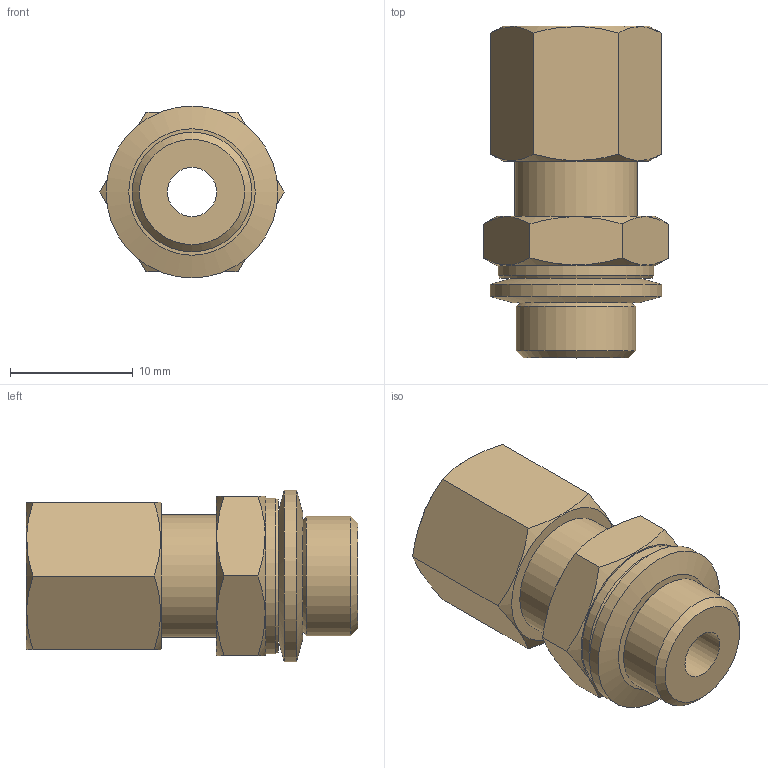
import cadquery as cq
import math


total_length = 27.02
bore_radius = 2.0

stud_radius = 9.73 / 2
stud_chamfer = 0.58
thread_end = 4.2
relief_radius = 4.47

washer_start = 4.5
washer_rim_width = 1.0
washer_rim_radius = 7.0
washer_face_radius = 5.15
washer_bevel_angle = math.radians(15)
washer_bevel = (washer_rim_radius - washer_face_radius) * math.tan(washer_bevel_angle)
washer_rim_start = washer_start + washer_bevel
washer_rim_end = washer_rim_start + washer_rim_width
washer_end = washer_rim_end + washer_bevel

collar_radius = 6.33
collar_chamfer_radial = 0.13
collar_chamfer_axial = 0.23

body_start = 7.52
body_length = 4.0
body_across_flats = 13.0
body_end = body_start + body_length
neck_radius = 5.0
nut_length = 11.0
nut_across_flats = 12.0
nut_start = total_length - nut_length
hex_chamfer_angle = math.radians(30)
hex_face_inset = 0.06


def revolve_profile(points):
    """Revolve a closed (radius, Y) outline around the Y axis."""
    return cq.Workplane("XY").polyline(points).close().revolve(360, (0, 0, 0), (0, 1, 0))


def cylinder(radius, start, end):
    """Cylinder along Y between two positions."""
    return revolve_profile([(0, start), (radius, start), (radius, end), (0, end)])


def chamfered_hexagon(across_flats, start, end):
    """Hexagonal prism along Y with corners on the X axis and conical chamfers at both ends."""
    corner_radius = across_flats / math.sqrt(3)
    face_radius = across_flats / 2 - hex_face_inset
    chamfer_depth = (corner_radius - face_radius) * math.tan(hex_chamfer_angle)
    prism = (
        cq.Workplane("XZ", origin=(0, start, 0))
        .polygon(6, 2 * corner_radius)
        .extrude(start - end)
    )
    envelope = revolve_profile([
        (0, start),
        (face_radius, start),
        (corner_radius, start + chamfer_depth),
        (corner_radius, end - chamfer_depth),
        (face_radius, end),
        (0, end),
    ])
    return prism.intersect(envelope)


def stud_washer_and_collar():
    """Threaded stud, relief, sealing washer and collar as one turned shape."""
    return revolve_profile([
        (0, 0),
        (stud_radius - stud_chamfer, 0),
        (stud_radius, stud_chamfer),
        (stud_radius, thread_end),
        (relief_radius, washer_start),
        (washer_face_radius, washer_start),
        (washer_rim_radius, washer_rim_start),
        (washer_rim_radius, washer_rim_end),
        (washer_face_radius, washer_end),
        (collar_radius - collar_chamfer_radial, washer_end),
        (collar_radius, washer_end + collar_chamfer_axial),
        (collar_radius, body_start),
        (0, body_start),
    ])


body_hexagon = chamfered_hexagon(body_across_flats, body_start, body_end)
neck = cylinder(neck_radius, body_end, nut_start)
nut = chamfered_hexagon(nut_across_flats, nut_start, total_length)
bore = cylinder(bore_radius, 0, total_length)

result = stud_washer_and_collar().union(body_hexagon).union(neck).union(nut).cut(bore)